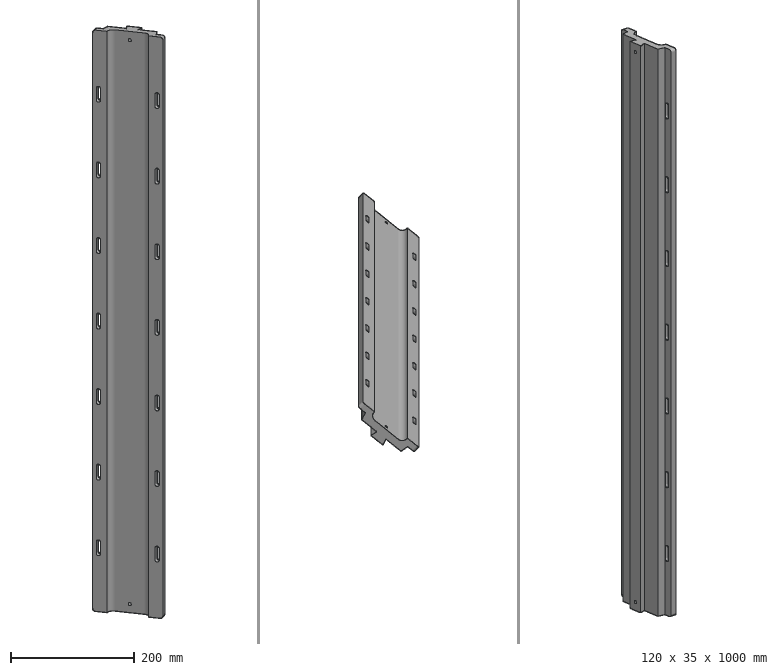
import cadquery as cq

length = 1000
half_width = 120 / 2
total_depth = 35.0

channel_depth = 11.0
channel_half_width = 35.0
channel_corner_radius = 10.0
flange_thickness = 11.0
shelf_height = 24.0
web_root_half_width = 45.0
web_top_half_width = 42.0
key_root_half_width = 10.0
key_top_half_width = 13.0

flange_corner_radius = 5.0
key_corner_radius = 2.0

slot_count = 7
slot_pitch = 130
slot_offset = 50
slot_length = 27.0
slot_width = 7.0
lip_wall = 0.5
lip_height = 1.0

pilot_diameter = 5.0
pilot_end_distance = 15.0


def rail_body():
    """Extrude one half of the cross-section over the full length and mirror it."""
    arc_start_x = channel_half_width - channel_corner_radius
    arc_end_y = channel_depth - channel_corner_radius
    half = (
        cq.Workplane("XY")
        .workplane(offset=-length / 2)
        .moveTo(0, channel_depth)
        .lineTo(arc_start_x, channel_depth)
        .tangentArcPoint((channel_half_width, arc_end_y), relative=False)
        .lineTo(channel_half_width, 0)
        .lineTo(half_width, 0)
        .lineTo(half_width, flange_thickness)
        .lineTo(web_root_half_width, flange_thickness)
        .lineTo(web_top_half_width, shelf_height)
        .lineTo(key_root_half_width, shelf_height)
        .lineTo(key_top_half_width, total_depth)
        .lineTo(0, total_depth)
        .close()
        .extrude(length)
    )
    return half.union(half.mirror("YZ")).clean()


def rounded_plate(plate_half_width, corner_radius, start_y, end_y):
    """Full-length plate between two Y levels with its four outer corners rounded."""
    return (
        cq.Workplane("XZ", origin=(0, start_y, 0))
        .rect(2 * plate_half_width, length)
        .extrude(start_y - end_y)
        .edges("|Y")
        .fillet(corner_radius)
    )


def end_rounding_envelope():
    """Space that keeps the rail but rounds the end corners of the flanges and the key."""
    flange_plate = rounded_plate(half_width, flange_corner_radius, 0, shelf_height)
    key_plate = rounded_plate(key_top_half_width, key_corner_radius, shelf_height, total_depth)
    return flange_plate.union(key_plate)


def slot_prisms(prism_length, prism_width, prism_depth):
    """Lengthwise slot shapes at every slot position, from Y = 0 to the given depth."""
    first_slot_z = -(slot_count - 1) / 2 * slot_pitch
    centers = [
        (side * slot_offset, first_slot_z + i * slot_pitch)
        for side in (-1, 1)
        for i in range(slot_count)
    ]
    return (
        cq.Workplane("XZ")
        .pushPoints(centers)
        .slot2D(prism_length, prism_width, 90)
        .extrude(-prism_depth)
    )


def pilot_holes():
    """Holes on the centre line, through the web and the key."""
    pilot_z = length / 2 - pilot_end_distance
    return (
        cq.Workplane("XZ")
        .pushPoints([(0, -pilot_z), (0, pilot_z)])
        .circle(pilot_diameter / 2)
        .extrude(-total_depth)
    )


rail = rail_body().intersect(end_rounding_envelope())
lips = slot_prisms(slot_length + 2 * lip_wall, slot_width + 2 * lip_wall, flange_thickness + lip_height)
slots = slot_prisms(slot_length, slot_width, total_depth)

result = rail.union(lips).cut(slots).cut(pilot_holes())